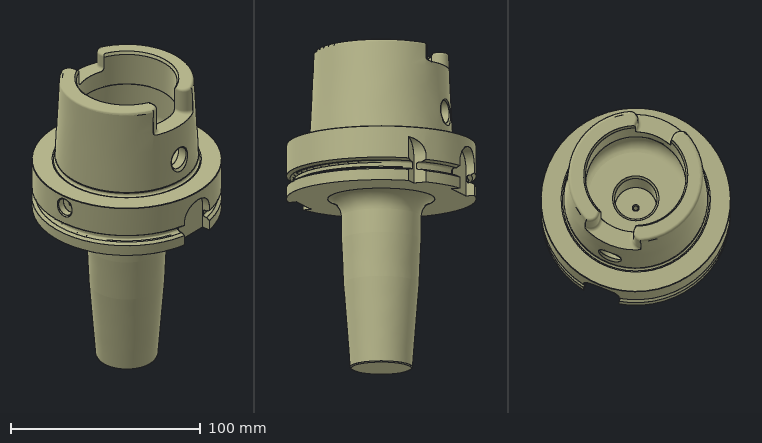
import cadquery as cq
import math


clearance = 1.0

shank_top = 49.9
gauge_height = 10.0
gauge_radius = 37.5
taper_slope = 0.05
rim_round = 1.7

relief_top = 2.4
relief_neck_radius = 37.4
relief_bevel_bottom = 1.6
relief_round = 1.2
relief_floor = -0.3
relief_outer_radius = 39.3

flange_radius = 50.0
flange_chamfer = 0.2
flange_bottom = -29.0
groove_center = -19.95
groove_half_width = 2.0
groove_mouth_half_width = 3.1
groove_mouth_slope = math.tan(math.radians(30))
groove_floor_radius = 45.9
groove_floor_round = 1.0

nose_bottom = -120.0
neck_radius = 21.0
neck_round = 10.0
neck_round_end = -38.6
neck_bottom = -51.2
nose_break = -74.6
nose_break_radius = 20.0
nose_tip_radius = 16.5
nose_chamfer = 0.6

bore_radius = 26.5
bore_mouth_chamfer = 0.9
bore_mouth_depth = 1.6
bore_lip_bottom = 30.0
cavity_radius = 31.5
cavity_floor_round = 6.6
bore_lip_slope = math.tan(math.radians(30))
cavity_floor = 3.0
thread_radius = 11.1
thread_chamfer = 1.1
thread_depth = 20.0
center_hole_radius = 1.2
center_hole_chamfer = 0.6
center_hole_depth = 10.0

driver_half_width = 10.0
driver_flare_radius = 4.8
driver_flare_start = 27.3
driver_floor_round = 2.0
driver_floors = {-1: 39.9, 1: 34.6}

cross_hole_height = 15.0
cross_hole_radius = 6.0
countersink_start = 36.2

keyway_radius = 10.0
keyway_top = -5.0
keyway_floor = 44.2
notch_floor = 31.8
notch_offset = 41.5

pocket_height = -7.0
pocket_radius = 4.7
pocket_chamfer = 0.7
pocket_tip_radius = 0.7
pocket_tip_depth = 1.0
pocket_depth = 4.6


def taper_radius(z):
    return gauge_radius + taper_slope * (gauge_height - z)


def make_body():
    neck_center = neck_radius + neck_round
    neck_rise = flange_bottom - neck_round_end
    neck_root = neck_center - math.sqrt(neck_round**2 - neck_rise**2)
    mid_angle = 0.5 * math.asin(neck_rise / neck_round)
    neck_mid = (
        neck_center - neck_round * math.cos(mid_angle),
        neck_round_end + neck_round * math.sin(mid_angle),
    )
    return (
        cq.Workplane("XZ")
        .moveTo(0, shank_top)
        .lineTo(taper_radius(shank_top), shank_top)
        .lineTo(taper_radius(relief_top), relief_top)
        .lineTo(relief_neck_radius, relief_bevel_bottom)
        .lineTo(relief_neck_radius, relief_floor + relief_round)
        .radiusArc((relief_neck_radius + relief_round, relief_floor), -relief_round)
        .lineTo(relief_outer_radius, 0)
        .lineTo(flange_radius - flange_chamfer, 0)
        .lineTo(flange_radius, -flange_chamfer)
        .lineTo(flange_radius, flange_bottom)
        .lineTo(neck_root, flange_bottom)
        .threePointArc(neck_mid, (neck_radius, neck_round_end))
        .lineTo(neck_radius, neck_bottom)
        .lineTo(nose_break_radius, nose_break)
        .lineTo(nose_tip_radius, nose_bottom + nose_chamfer)
        .lineTo(nose_tip_radius - nose_chamfer, nose_bottom)
        .lineTo(0, nose_bottom)
        .close()
        .revolve(360, (0, 0, 0), (0, 1, 0))
    )


def make_groove():
    top = groove_half_width
    mouth = groove_mouth_half_width
    mouth_radius = flange_radius - (mouth - top) / groove_mouth_slope
    wall_root = groove_floor_radius + groove_floor_round
    floor_half_width = top - groove_floor_round
    return (
        cq.Workplane("XZ", origin=(0, 0, groove_center))
        .moveTo(flange_radius, mouth)
        .lineTo(mouth_radius, top)
        .lineTo(wall_root, top)
        .radiusArc((groove_floor_radius, floor_half_width), -groove_floor_round)
        .lineTo(groove_floor_radius, -floor_half_width)
        .radiusArc((wall_root, -top), -groove_floor_round)
        .lineTo(mouth_radius, -top)
        .lineTo(flange_radius, -mouth)
        .close()
        .revolve(360, (0, 0, 0), (0, 1, 0))
    )


def make_bore():
    thread_top = cavity_floor
    thread_bottom = thread_top - thread_depth
    hole_bottom = thread_bottom - center_hole_depth
    shoulder = (cavity_radius - bore_radius) * bore_lip_slope
    return (
        cq.Workplane("XZ")
        .moveTo(0, shank_top)
        .lineTo(bore_radius + bore_mouth_chamfer, shank_top)
        .lineTo(bore_radius, shank_top - bore_mouth_depth)
        .lineTo(bore_radius, bore_lip_bottom)
        .lineTo(cavity_radius, bore_lip_bottom - shoulder)
        .lineTo(cavity_radius, cavity_floor + cavity_floor_round)
        .radiusArc((cavity_radius - cavity_floor_round, cavity_floor), cavity_floor_round)
        .lineTo(thread_radius + thread_chamfer, thread_top)
        .lineTo(thread_radius, thread_top - thread_chamfer)
        .lineTo(thread_radius, thread_bottom)
        .lineTo(center_hole_radius + center_hole_chamfer, thread_bottom)
        .lineTo(center_hole_radius, thread_bottom - center_hole_chamfer)
        .lineTo(center_hole_radius, hole_bottom)
        .lineTo(0, hole_bottom)
        .close()
        .revolve(360, (0, 0, 0), (0, 1, 0))
    )


def make_driver_slot(side, floor):
    flare = driver_flare_radius
    flare_end = driver_flare_start + flare
    half = driver_half_width
    outer_half = half + flare
    diagonal = flare * math.sqrt(0.5)
    flare_mid_x = driver_flare_start + diagonal
    flare_mid_y = outer_half - diagonal
    reach = gauge_radius + clearance
    wide = outer_half + clearance
    slot = (
        cq.Workplane("XY", origin=(0, 0, floor))
        .moveTo(0, -half)
        .lineTo(side * driver_flare_start, -half)
        .threePointArc((side * flare_mid_x, -flare_mid_y), (side * flare_end, -outer_half))
        .lineTo(side * flare_end, -wide)
        .lineTo(side * reach, -wide)
        .lineTo(side * reach, wide)
        .lineTo(side * flare_end, wide)
        .lineTo(side * flare_end, outer_half)
        .threePointArc((side * flare_mid_x, flare_mid_y), (side * driver_flare_start, half))
        .lineTo(0, half)
        .close()
        .extrude(shank_top - floor + clearance)
    )
    walls = cq.selectors.BoxSelector(
        (0, -wide, floor - clearance),
        (side * (flare_end + clearance / 2), wide, floor + clearance),
    )
    side_edges = slot.edges("<Z").edges(walls).edges("not(|Y)")
    return side_edges.fillet(driver_floor_round)


def make_cross_hole():
    sink_depth = gauge_radius - countersink_start + clearance
    hole = (
        cq.Workplane("XY")
        .moveTo(0, 0)
        .lineTo(0, cross_hole_radius)
        .lineTo(countersink_start, cross_hole_radius)
        .lineTo(countersink_start + sink_depth, cross_hole_radius + sink_depth)
        .lineTo(countersink_start + sink_depth, 0)
        .close()
        .revolve(360, (0, 0, 0), (1, 0, 0))
        .translate((0, 0, cross_hole_height))
    )
    return hole.union(hole.mirror("YZ"))


def make_keyway(floor, offset):
    center_z = keyway_top - keyway_radius
    length = flange_radius - floor + clearance
    plane = cq.Workplane("YZ", origin=(floor, offset, center_z))
    rounded_end = plane.circle(keyway_radius).extrude(length)
    drop = center_z - flange_bottom + clearance
    straight = plane.center(0, -drop / 2).rect(2 * keyway_radius, drop).extrude(length)
    return rounded_end.union(straight)


def make_data_pocket():
    floor = flange_radius - pocket_depth
    mouth = pocket_radius + pocket_chamfer
    return (
        cq.Workplane("XY")
        .moveTo(0, -flange_radius)
        .lineTo(mouth, -flange_radius)
        .lineTo(pocket_radius, pocket_chamfer - flange_radius)
        .lineTo(pocket_radius, -floor)
        .lineTo(pocket_tip_radius, -floor)
        .lineTo(pocket_tip_radius, pocket_tip_depth - floor)
        .lineTo(0, pocket_tip_depth - floor)
        .close()
        .revolve(360, (0, 0, 0), (0, 1, 0))
        .translate((0, 0, pocket_height))
    )


def make_shank_blank():
    """Turned body with the driver slots cut and the rim rounded around both lobes."""
    blank = make_body()
    for side, floor in driver_floors.items():
        blank = blank.cut(make_driver_slot(side, floor))
    return blank.faces(">Z").edges().fillet(rim_round)


def cut_keyways(body):
    keyway = make_keyway(keyway_floor, 0)
    notch = make_keyway(notch_floor, notch_offset).mirror("YZ")
    return body.cut(keyway).cut(keyway.mirror("YZ")).cut(notch)


result = make_shank_blank()
result = result.cut(make_groove())
result = result.cut(make_bore())
result = result.cut(make_cross_hole())
result = cut_keyways(result)
result = result.cut(make_data_pocket())